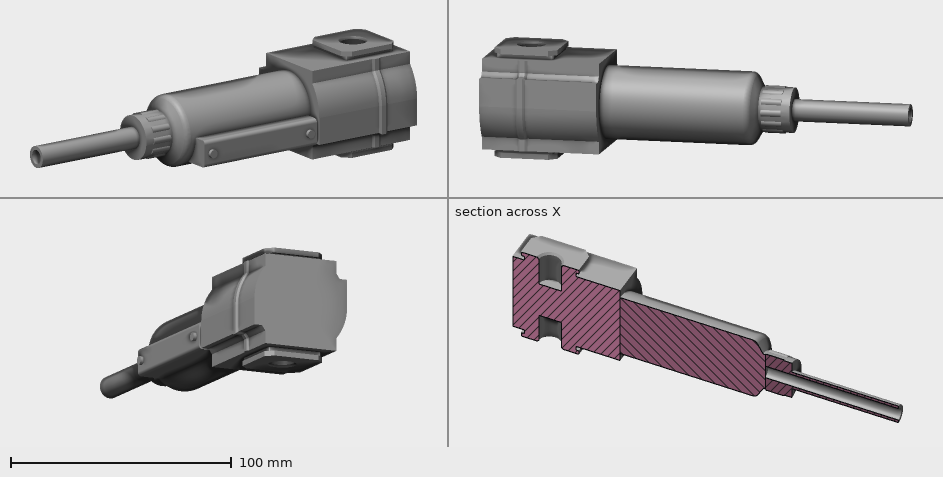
import cadquery as cq
import math


head_length = 54.5
block_half_width = 18.0
head_half_height = 20.9
barrel_radius = 23.5
ear_height = 12.7
ear_slope_width = 1.8

band_y = 35.5
band_height = 0.8
band_crest_width = 2.3
band_slope_width = 1.2

flange_size = 29.3
flange_corner = 3.5
flange_thickness = 2.3
flange_span = 50.2
flange_neck_size = 26.2
flange_neck_corner = 0.4
port_diameter = 11.3
port_chamfer = 1.0
port_depth = 15.6

bowl_radius = 16.8
bowl_shoulder_y = -68.5
cone_angle = 30.0
shoulder_fillet = 3.1
neck_radius = 10.4
neck_end_y = -73.5

sight_start_y = -1.5
sight_end_y = -64.0
sight_outer_x = 23.8
sight_bottom_z = -12.7
sight_fillet = 1.8
screw_radius = 2.0
screw_outer_x = 25.4
screw_inset = 4.1

knob_length = 13.5
rib_count = 12
rib_length = 9.4
rib_radius = 2.0
rib_height = 0.5
tube_radius = 5.0
tube_bore_radius = 3.3
overall_length = 195.3

flange_outer_z = flange_span / 2
flange_neck_height = flange_outer_z - flange_thickness - head_half_height
knob_end_y = neck_end_y - knob_length
tube_end_y = head_length - overall_length


def plane_across(y):
    """Plane across the Y axis, with local x along X, local y along Z and its normal along -Y."""
    return cq.Workplane(cq.Plane(origin=(0, y, 0), xDir=(1, 0, 0), normal=(0, -1, 0)))


def head_outline(y):
    """Head cross-section, unchanged by half a turn about the Y axis."""
    arc_end_z = math.sqrt(barrel_radius**2 - block_half_width**2)
    arc_middle = barrel_radius * math.cos(math.asin(arc_end_z / barrel_radius) / 2)
    arc_middle_z = math.sqrt(barrel_radius**2 - arc_middle**2)
    slope_x = block_half_width + ear_slope_width
    outline = plane_across(y).moveTo(-block_half_width, -head_half_height)
    for side in (1, -1):
        outline = (
            outline.lineTo(side * block_half_width, -side * head_half_height)
            .lineTo(side * block_half_width, -side * arc_end_z)
            .lineTo(side * slope_x, -side * ear_height)
            .lineTo(side * barrel_radius, -side * ear_height)
            .lineTo(side * barrel_radius, 0)
            .threePointArc(
                (side * arc_middle, side * arc_middle_z),
                (side * block_half_width, side * arc_end_z),
            )
            .lineTo(side * block_half_width, side * head_half_height)
        )
    return outline.close()


def make_band():
    """Trapezoidal band on the sides of the head, level with its flat top and bottom."""
    crest_start = band_y + band_crest_width / 2
    crest_end = band_y - band_crest_width / 2
    slope_angle = math.degrees(math.atan(band_height / band_slope_width))
    crest = head_outline(crest_start).offset2D(band_height, "intersection").extrude(band_crest_width)
    front_slope = (
        head_outline(crest_end)
        .offset2D(band_height, "intersection")
        .extrude(band_slope_width, taper=slope_angle)
    )
    back_slope = front_slope.mirror("XZ", (0, band_y, 0))
    limits = cq.Workplane("XY").box(4 * barrel_radius, 4 * head_length, 2 * head_half_height)
    return crest.union(front_slope).union(back_slope).intersect(limits)


def make_port_flange():
    """Square flange with cut corners on a smaller neck, on the top of the head."""
    neck = (
        cq.Workplane("XY", origin=(0, band_y, head_half_height))
        .rect(flange_neck_size, flange_neck_size)
        .extrude(flange_neck_height)
        .edges("|Z")
        .chamfer(flange_neck_corner)
    )
    plate = (
        cq.Workplane("XY", origin=(0, band_y, flange_outer_z - flange_thickness))
        .rect(flange_size, flange_size)
        .extrude(flange_thickness)
        .edges("|Z")
        .chamfer(flange_corner)
    )
    return neck.union(plate)


def make_port_hole():
    """Blind port with a chamfered mouth, on the top of the head."""
    mouth = cq.Workplane("XY", origin=(0, band_y, flange_outer_z))
    bore = mouth.circle(port_diameter / 2).extrude(-port_depth)
    countersink = mouth.circle(port_diameter / 2 + port_chamfer).extrude(-port_chamfer, taper=45)
    return bore.union(countersink)


def make_head():
    head = head_outline(head_length).extrude(head_length).union(make_band())
    flange = make_port_flange()
    hole = make_port_hole()
    head = head.union(flange).union(flange.mirror("XY"))
    return head.cut(hole).cut(hole.mirror("XY"))


def make_bowl_shell():
    """Turned bowl with a rounded shoulder, a cone and a short neck."""
    cone_drop = (bowl_radius - neck_radius) * math.tan(math.radians(cone_angle))
    cone_end_y = bowl_shoulder_y - cone_drop
    blank = (
        cq.Workplane("XY")
        .polyline([
            (0, 0),
            (bowl_radius, 0),
            (bowl_radius, bowl_shoulder_y),
            (neck_radius, cone_end_y),
            (0, cone_end_y),
        ])
        .close()
        .revolve(360, (0, 0, 0), (0, 1, 0))
    )
    shoulder = cq.selectors.BoxSelector(
        (-bowl_radius, bowl_shoulder_y - shoulder_fillet / 2, -bowl_radius),
        (bowl_radius, bowl_shoulder_y + shoulder_fillet / 2, bowl_radius),
    )
    blank = blank.edges(shoulder).fillet(shoulder_fillet)
    neck = plane_across(cone_end_y).circle(neck_radius).extrude(cone_end_y - neck_end_y)
    return blank.union(neck)


def make_sight_housing():
    """Bar along the side of the bowl with a screw head near each end."""
    housing = (
        plane_across(sight_start_y)
        .lineTo(sight_outer_x, 0)
        .lineTo(sight_outer_x, sight_bottom_z)
        .lineTo(0, sight_bottom_z)
        .close()
        .extrude(sight_start_y - sight_end_y)
        .edges("|Y and >X")
        .fillet(sight_fillet)
    )
    for screw_y in (sight_start_y - screw_inset, sight_end_y + screw_inset):
        screw = (
            cq.Workplane("YZ", origin=(sight_outer_x, screw_y, sight_bottom_z / 2))
            .circle(screw_radius)
            .extrude(screw_outer_x - sight_outer_x)
        )
        housing = housing.union(screw)
    return housing


def make_bowl():
    return make_bowl_shell().union(make_sight_housing())


def make_drain():
    """Ribbed knob and tube, bored through along the axis."""
    drain = plane_across(neck_end_y).circle(neck_radius).extrude(knob_length)
    ribs = (
        plane_across(neck_end_y)
        .polarArray(neck_radius + rib_height - rib_radius, 0, 360, rib_count)
        .circle(rib_radius)
        .extrude(rib_length)
    )
    tube = plane_across(knob_end_y).circle(tube_radius).extrude(knob_end_y - tube_end_y)
    bore = plane_across(neck_end_y).circle(tube_bore_radius).extrude(neck_end_y - tube_end_y)
    return drain.union(ribs).union(tube).cut(bore)


head = make_head()
bowl = make_bowl()
drain = make_drain()

result = cq.Compound.makeCompound([body.solids().val() for body in (head, bowl, drain)])